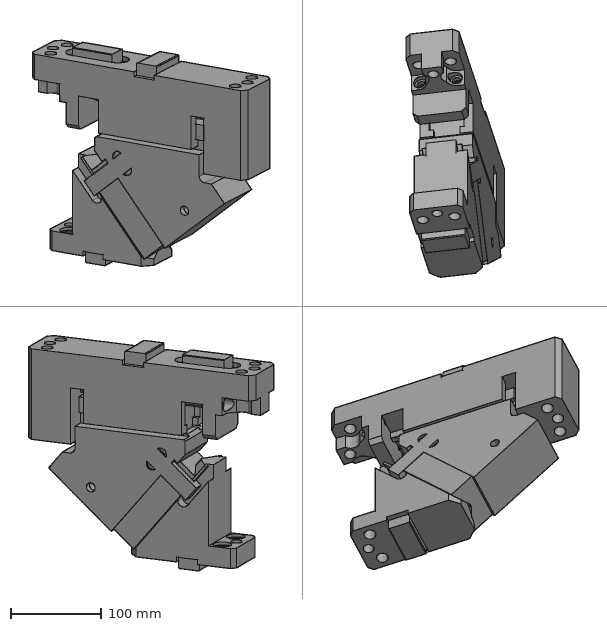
import cadquery as cq
import math

LENGTH = 277.0
OVERALL_HEIGHT = 243.0
HOLDER_TOP = 225.0
WIDTH = 60.0
HALF_WIDTH = WIDTH / 2
SLIDE_ANGLE = math.radians(50)
ALONG = (math.cos(SLIDE_ANGLE), 0, -math.sin(SLIDE_ANGLE))
OUT = (math.sin(SLIDE_ANGLE), 0, math.cos(SLIDE_ANGLE))

KEY_WIDTH = 25.8
KEY_LENGTH = 49.0
KEY_SEAT = 5.5
KEY_RISE = (OVERALL_HEIGHT - HOLDER_TOP) / 2
KEY_CHAMFER = 1.0
SCREW_HOLE = 13.0
SCREW_OFFSET = 18.0
DOWEL_HOLE = 12.5

CORNER_CHAMFER = 6.0
FOOT_Z = 175.0
LEG_LEFT = 46.5
LEG_RIGHT = 62.3
LEG_BOTTOM = 145.5
LEG_CHAMFER = 5.0
BLOCK_LEFT = 88.0
BLOCK_RIGHT = 207.5
BLOCK_BOTTOM = 146.3
STOP_LEFT = 223.3
STOP_BOTTOM = 120.5
NOTCH_TOP = 185.3
RIB_HALF = 3.3
RIB_CHAMFER_Y = 1.5
RIB_CHAMFER_Z = 2.2
RIB_END_X = 71.7
RIB_END_Z = 176.5
HOLDER_KEY_X = 146.8
LEFT_SCREW_X = 20.0
LEFT_DOWEL_X = 12.2
RIGHT_SCREW_X = 257.0
RIGHT_DOWEL_X = 262.0

RECESS_TOP = 195.5
RECESS_RIGHT = 38.2
RECESS_WALL_Y = 11.4
RECESS_CORNER = 11.5
SPOTFACE = 22.2
CROSS_Y = 20.0
CROSS_Z = 185.3
CROSS_COUNTERBORE = 15.0
CROSS_COUNTERBORE_DEPTH = 5.5
CROSS_BORE = 9.7
CROSS_BORE_DEPTH = 11.0
CROSS_HOLE = 6.5

BAR_X = 69.5
BAR_LENGTH = 50.7
BAR_WIDTH = 23.5
BAR_CHAMFER = 0.8
POCKET_LENGTH = 77.5
POCKET_WIDTH = 25.2

NECK_HALF = 15.0
HEAD_HALF = 20.0
HEAD_BOTTOM = 155.0
HEAD_TOP = 173.0
TONGUE_LEFT = 95.0

RIDGE = 131.9
ROOF_ANGLE = math.radians(28)
RIDGE_HALF = 2.0
LIP_BOTTOM = 118.0
RAIL_NECK_HALF = 17.0
LIP_HALF = 22.5
LIP_START = -45.7
RELIEF_FLOOR = 104.7
RELIEF_END = 7.2
SLIDE_REACH = 277.0

BASE_LEFT = 23.0
BASE_RIGHT = 153.5
PLATE_TOP = 23.0
COLUMN_LEFT = 54.8
COLUMN_TOP = 113.3
BASE_LEFT_CHAMFER = 5.3
BASE_RIGHT_CHAMFER = 10.2
BASE_KEY_X = 81.2
BASE_SCREW_X = 43.5
BASE_DOWEL_X = 34.3
COUNTERBORE = 20.5
COUNTERBORE_DEPTH = 3.3
BASE_DOWEL_LOWER = 11.5
BASE_DOWEL_DEPTH = 3.3

SLIDER_LEFT = 83.5
SLIDER_RIGHT = 217.7
SHOULDER_Z = 141.8
SHOULDER_CHAMFER = 1.7
SLIDER_HEEL_Z = 125.0
SHELF_Z = 110.2
SHELF_RADIUS = 7.0
PAD_TOP = 144.3
END_PLATE_START = -27.7
HOOK_START = -22.5
HOOK_END = -2.2
HOOK_BOTTOM = 110.0
END_PLATE_BOTTOM = 120.0
LINER_BOTTOM = 117.7
LINER_END = 87.5
LINER_TOP = 149.5
LINER_INSET = 0.3
SLIDER_END = 91.7
SLIDER_OUT = 249.5
DRILL_X = 198.5
DRILL_Z = 73.7
DRILL_DIAMETER = 10.5
DRILL_DEPTH = 8.3
DRILL_TIP_DEPTH = 3.0
OBLONG_ALONG = -12.5
OBLONG_OUT = 165.0
OBLONG_LENGTH = 30.2
OBLONG_WIDTH = 13.8
OBLONG_BRIDGE = 20.5
OBLONG_DEPTH = 2.8


def point_on_slide(along, out):
    """X and Z of a point given along and square to the rail."""
    return (along * ALONG[0] + out * OUT[0], along * ALONG[2] + out * OUT[2])


def slide_meets_x(x, out):
    """Z where the line at height `out` above the slide axis crosses a vertical at x."""
    return (out - x * OUT[0]) / OUT[2]


def slide_meets_z(z, out):
    """X where the line at height `out` above the slide axis crosses level z."""
    return (out - z * OUT[2]) / OUT[0]


def box(x0, x1, y0, y1, z0, z1):
    return cq.Workplane("XY").box(x1 - x0, y1 - y0, z1 - z0, centered=False).translate((x0, y0, z0))


def front_slab(points, half=HALF_WIDTH):
    """Outline in X and Z, extruded equally to both sides of the mid-plane."""
    return cq.Workplane("XZ").polyline(points).close().extrude(half, both=True)


def side_plane(y):
    """Plane at y, facing -Y, with its axes along and square to the rail."""
    return cq.Plane(origin=(0, y, 0), xDir=ALONG, normal=(0, -1, 0))


def slide_box(along0, along1, out0, out1, y0, y1):
    """Box aligned with the rail."""
    centre = ((along0 + along1) / 2, (out0 + out1) / 2)
    outline = cq.Workplane(side_plane(y1)).center(*centre).rect(along1 - along0, out1 - out0)
    return outline.extrude(y1 - y0)


def along_slide(half_outline, start, end):
    """Symmetric outline in Y and "out", given for +Y, extruded along the rail."""
    mirrored = [(-y, out) for y, out in reversed(half_outline)]
    origin = tuple(start * component for component in ALONG)
    plane = cq.Plane(origin=origin, xDir=(0, 1, 0), normal=ALONG)
    return cq.Workplane(plane).polyline(half_outline + mirrored).close().extrude(end - start)


def roof_profile(half_width, bottom=0.0):
    """Half outline of the gabled rail: a vertical side, then the roof slope up to the ridge."""
    eaves = RIDGE - (half_width - RIDGE_HALF) * math.tan(ROOF_ANGLE)
    return [(half_width, bottom), (half_width, eaves), (RIDGE_HALF, RIDGE)]


def vertical_hole(x, y, diameter, z0, z1):
    return cq.Workplane("XY", origin=(x, y, z0)).circle(diameter / 2).extrude(z1 - z0)


def both_sides(shape):
    """A shape together with its mirror image across the mid-plane."""
    return shape.union(shape.mirror("XZ"))


def key_seat(x, z0, z1):
    return box(x - KEY_WIDTH / 2, x + KEY_WIDTH / 2, -HALF_WIDTH, HALF_WIDTH, z0, z1)


def key(x, z0, z1, outer_edges):
    half = KEY_LENGTH / 2
    block = box(x - KEY_WIDTH / 2, x + KEY_WIDTH / 2, -half, half, z0, z1)
    return block.faces(outer_edges).edges("|Y").chamfer(KEY_CHAMFER)


def holder_blank():
    outline = [
        (0, HOLDER_TOP), (LENGTH, HOLDER_TOP), (LENGTH, STOP_BOTTOM), (STOP_LEFT, STOP_BOTTOM),
        (STOP_LEFT, HEAD_TOP), (BLOCK_RIGHT, HEAD_TOP), (BLOCK_RIGHT, BLOCK_BOTTOM),
        (BLOCK_LEFT, BLOCK_BOTTOM), (BLOCK_LEFT, HEAD_TOP), (RIB_END_X, HEAD_TOP), (LEG_RIGHT, RIB_END_Z),
        (LEG_RIGHT, LEG_BOTTOM), (LEG_LEFT, LEG_BOTTOM), (LEG_LEFT, FOOT_Z), (0, FOOT_Z),
    ]
    blank = front_slab(outline)
    blank = blank.edges("|Z and (<X or >X)").chamfer(CORNER_CHAMFER)
    leg_x = (LEG_LEFT + LEG_RIGHT) / 2
    for side in (-HALF_WIDTH, HALF_WIDTH):
        leg_edge = cq.selectors.NearestToPointSelector((leg_x, side, LEG_BOTTOM))
        blank = blank.edges("|X").edges(leg_edge).chamfer(LEG_CHAMFER)
    return blank


def rib_side_cut(x0, x1, outer_half):
    """Cut beside the middle rib, up to the notch top, with the rib's lower edges chamfered."""
    profile = [
        (RIB_HALF - RIB_CHAMFER_Y, HEAD_TOP), (RIB_HALF, HEAD_TOP + RIB_CHAMFER_Z),
        (RIB_HALF, NOTCH_TOP), (outer_half, NOTCH_TOP), (outer_half, HEAD_TOP),
    ]
    return both_sides(cq.Workplane("YZ", origin=(x0, 0, 0)).polyline(profile).close().extrude(x1 - x0))


def screw_recess():
    """Open pocket with a round inner corner, a round spotface and a stepped cross hole."""
    pocket = box(0, RECESS_RIGHT, RECESS_WALL_Y, HALF_WIDTH, FOOT_Z, RECESS_TOP)
    pocket = pocket.edges("|Z and >X and <Y").fillet(RECESS_CORNER)
    recess = pocket.union(vertical_hole(LEFT_SCREW_X, SCREW_OFFSET, SPOTFACE, FOOT_Z, RECESS_TOP))
    corner_start = RECESS_RIGHT - RECESS_CORNER
    cross_steps = [
        (CROSS_COUNTERBORE, CROSS_COUNTERBORE_DEPTH),
        (CROSS_BORE, CROSS_BORE_DEPTH),
        (CROSS_HOLE, LEG_RIGHT - RECESS_RIGHT),
    ]
    for diameter, depth in cross_steps:
        bore = cq.Workplane("YZ", origin=(corner_start, CROSS_Y, CROSS_Z)).circle(diameter / 2)
        recess = recess.union(bore.extrude(RECESS_CORNER + depth))
    return both_sides(recess)


def t_slot():
    neck = box(BLOCK_LEFT, BLOCK_RIGHT, -NECK_HALF, NECK_HALF, BLOCK_BOTTOM, HEAD_TOP)
    return neck.union(box(BLOCK_LEFT, BLOCK_RIGHT, -HEAD_HALF, HEAD_HALF, HEAD_BOTTOM, HEAD_TOP))


def holder_body():
    seat_z = HOLDER_TOP - KEY_SEAT
    key_top = HOLDER_TOP + KEY_RISE
    holder = holder_blank()
    holder = holder.cut(rib_side_cut(LEG_RIGHT, BLOCK_LEFT, HALF_WIDTH))
    holder = holder.cut(rib_side_cut(BLOCK_LEFT, BLOCK_RIGHT, HEAD_HALF))
    holder = holder.cut(rib_side_cut(BLOCK_RIGHT, STOP_LEFT, HALF_WIDTH))
    holder = holder.cut(t_slot()).cut(screw_recess())
    for screw_x, dowel_x in [(LEFT_SCREW_X, LEFT_DOWEL_X), (RIGHT_SCREW_X, RIGHT_DOWEL_X)]:
        screw_hole = vertical_hole(screw_x, SCREW_OFFSET, SCREW_HOLE, STOP_BOTTOM, HOLDER_TOP)
        holder = holder.cut(both_sides(screw_hole))
        holder = holder.cut(vertical_hole(dowel_x, 0, DOWEL_HOLE, STOP_BOTTOM, HOLDER_TOP))
    pocket = cq.Workplane("XY", origin=(BAR_X, 0, seat_z)).slot2D(POCKET_LENGTH, POCKET_WIDTH)
    holder = holder.cut(pocket.extrude(KEY_SEAT))
    bar = box(
        BAR_X - BAR_LENGTH / 2, BAR_X + BAR_LENGTH / 2, -BAR_WIDTH / 2, BAR_WIDTH / 2, seat_z, key_top
    )
    holder = holder.union(bar.faces(">Z").edges("|X").chamfer(BAR_CHAMFER))
    holder = holder.cut(key_seat(HOLDER_KEY_X, seat_z, HOLDER_TOP))
    return holder.union(key(HOLDER_KEY_X, seat_z, key_top, ">Z"))


def rail_relief():
    """Round-ended groove under the rail lip, open above beside the lip and all round its upper end."""
    radius = (LIP_BOTTOM - RELIEF_FLOOR) / 2
    round_start = RELIEF_END - radius
    mid_out = RELIEF_FLOOR + radius
    groove = slide_box(
        -SLIDE_REACH, round_start, RELIEF_FLOOR, LIP_BOTTOM, RAIL_NECK_HALF, HALF_WIDTH
    )
    round_end = (
        cq.Workplane(side_plane(HALF_WIDTH))
        .center(round_start, mid_out)
        .circle(radius)
        .extrude(HALF_WIDTH - RAIL_NECK_HALF)
    )
    beside_lip = slide_box(-SLIDE_REACH, round_start, mid_out, RIDGE, LIP_HALF, HALF_WIDTH)
    above_start = slide_box(-SLIDE_REACH, LIP_START, mid_out, RIDGE, RAIL_NECK_HALF, HALF_WIDTH)
    return both_sides(groove.union(round_end).union(beside_lip).union(above_start))


def base_body():
    outline = [
        (BASE_LEFT, 0), (BASE_RIGHT, 0), (BASE_RIGHT, slide_meets_x(BASE_RIGHT, RIDGE)),
        (slide_meets_z(COLUMN_TOP, RIDGE), COLUMN_TOP), (COLUMN_LEFT, COLUMN_TOP),
        (COLUMN_LEFT, PLATE_TOP), (BASE_LEFT, PLATE_TOP),
    ]
    base = front_slab(outline)
    base = base.edges("|Z and <X").chamfer(BASE_LEFT_CHAMFER)
    base = base.edges("|Z and >X").chamfer(BASE_RIGHT_CHAMFER)
    base = base.intersect(along_slide(roof_profile(HALF_WIDTH), -SLIDE_REACH, SLIDE_REACH))
    base = base.cut(rail_relief())
    base = base.cut(both_sides(vertical_hole(BASE_SCREW_X, SCREW_OFFSET, SCREW_HOLE, 0, PLATE_TOP)))
    counterbore_z = PLATE_TOP - COUNTERBORE_DEPTH
    counterbore = vertical_hole(BASE_SCREW_X, SCREW_OFFSET, COUNTERBORE, counterbore_z, PLATE_TOP)
    base = base.cut(both_sides(counterbore))
    base = base.cut(vertical_hole(BASE_DOWEL_X, 0, BASE_DOWEL_LOWER, 0, PLATE_TOP))
    base = base.cut(vertical_hole(BASE_DOWEL_X, 0, DOWEL_HOLE, PLATE_TOP - BASE_DOWEL_DEPTH, PLATE_TOP))
    base = base.cut(key_seat(BASE_KEY_X, 0, KEY_SEAT))
    return base.union(key(BASE_KEY_X, -KEY_RISE, KEY_SEAT, "<Z"))


def slider_blank():
    heel_out = SLIDER_LEFT * OUT[0] + SLIDER_HEEL_Z * OUT[2]
    outline = [
        (SLIDER_LEFT, SHOULDER_Z - SHOULDER_CHAMFER),
        (SLIDER_LEFT, SLIDER_HEEL_Z),
        point_on_slide(END_PLATE_START, heel_out),
        point_on_slide(END_PLATE_START, END_PLATE_BOTTOM),
        point_on_slide(HOOK_START, END_PLATE_BOTTOM),
        point_on_slide(HOOK_START, HOOK_BOTTOM),
        point_on_slide(HOOK_END, HOOK_BOTTOM),
        point_on_slide(HOOK_END, LINER_BOTTOM),
        point_on_slide(LINER_END, LINER_BOTTOM),
        point_on_slide(LINER_END, LINER_TOP),
        point_on_slide(SLIDER_END, LINER_TOP),
        point_on_slide(SLIDER_END, SLIDER_OUT),
        (slide_meets_z(SHELF_Z, SLIDER_OUT), SHELF_Z),
        (SLIDER_RIGHT, SHELF_Z),
        (SLIDER_RIGHT, SHOULDER_Z),
        (SLIDER_LEFT + SHOULDER_CHAMFER, SHOULDER_Z),
    ]
    shelf_corner = cq.selectors.NearestToPointSelector((SLIDER_RIGHT, 0, SHELF_Z))
    return front_slab(outline).edges("|Y").edges(shelf_corner).fillet(SHELF_RADIUS)


def tongue():
    pad_rise = PAD_TOP - SHOULDER_Z
    pad_left = SLIDER_LEFT + SHOULDER_CHAMFER
    neck = front_slab(
        [
            (pad_left, SHOULDER_Z), (pad_left + pad_rise, PAD_TOP), (TONGUE_LEFT, PAD_TOP),
            (TONGUE_LEFT, HEAD_TOP), (SLIDER_RIGHT, HEAD_TOP), (SLIDER_RIGHT, SHOULDER_Z),
        ],
        NECK_HALF,
    )
    return neck.union(box(TONGUE_LEFT, SLIDER_RIGHT, -HEAD_HALF, HEAD_HALF, HEAD_BOTTOM, HEAD_TOP))


def drilled_hole():
    """Blind hole with a conical bottom in the +Y side."""
    radius = DRILL_DIAMETER / 2
    shoulder_y = HALF_WIDTH - DRILL_DEPTH
    half_section = [
        (0, HALF_WIDTH), (radius, HALF_WIDTH), (radius, shoulder_y), (0, shoulder_y - DRILL_TIP_DEPTH),
    ]
    hole = cq.Workplane("XY").polyline(half_section).close().revolve(360, (0, 0, 0), (0, 1, 0))
    return hole.translate((DRILL_X, 0, DRILL_Z))


def oblong_recess():
    """Two round-ended pockets: an oblong recess whose middle stays flush with the +Y side."""
    oblong = (
        cq.Workplane(side_plane(HALF_WIDTH))
        .center(OBLONG_ALONG, OBLONG_OUT)
        .slot2D(OBLONG_LENGTH, OBLONG_WIDTH)
        .extrude(OBLONG_DEPTH)
    )
    bridge = slide_box(
        OBLONG_ALONG - OBLONG_BRIDGE / 2, OBLONG_ALONG + OBLONG_BRIDGE / 2,
        OBLONG_OUT - OBLONG_WIDTH / 2, OBLONG_OUT + OBLONG_WIDTH / 2,
        HALF_WIDTH - OBLONG_DEPTH, HALF_WIDTH,
    )
    return oblong.cut(bridge)


def side_cuts():
    """End plate recess, slightly sunk liner face, drilled hole and oblong recess on both sides."""
    end_recess = slide_box(END_PLATE_START, HOOK_START, LIP_BOTTOM, LINER_TOP, LIP_HALF, HALF_WIDTH)
    liner = slide_box(HOOK_END, LINER_END, LINER_BOTTOM, LINER_TOP, HALF_WIDTH - LINER_INSET, HALF_WIDTH)
    return both_sides(end_recess.union(liner).union(drilled_hole()).union(oblong_recess()))


def slider_body():
    neck_profile = [(RAIL_NECK_HALF, 0), (RAIL_NECK_HALF, LIP_BOTTOM)]
    lipped_rail = neck_profile + roof_profile(LIP_HALF, LIP_BOTTOM)
    slider = slider_blank().union(tongue())
    slider = slider.cut(along_slide(lipped_rail, END_PLATE_START, HOOK_END))
    slider = slider.cut(along_slide(roof_profile(HALF_WIDTH), HOOK_END, SLIDER_END))
    return slider.cut(side_cuts())


holder = holder_body()
base = base_body()
slider = slider_body()
result = cq.Compound.makeCompound([holder.val(), base.val(), slider.val()])